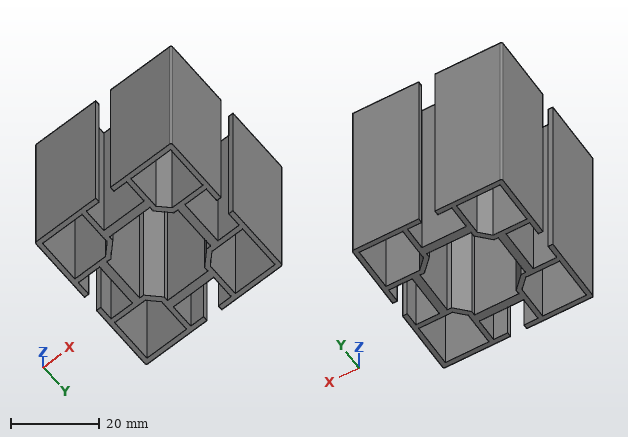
import cadquery as cq

side = 40.0
length = 50.0
wall = 1.25
slot_opening = 4.3
slot_width = 11.8
bridge_outer = 12.5
bridge_thickness = 2.1
core_corner = 9.25
edge_round = 0.5

half_side = side / 2
half_slot = slot_width / 2
bridge_inner = bridge_outer - bridge_thickness
cell_outer = half_side - wall
cell_inner = half_slot + wall
cell_size = cell_outer - cell_inner
cell_center = (cell_outer + cell_inner) / 2
diagonal_offset = half_slot + core_corner + wall * 2 ** 0.5
cell_chamfer = diagonal_offset - 2 * cell_inner


def corner_cell():
    """Square hollow in the +X +Y corner, cut off diagonally towards the axis."""
    cell = cq.Workplane("XY").center(cell_center, cell_center).rect(cell_size, cell_size).extrude(length)
    return cell.edges("|Z").edges("<(1, 1, 0)").chamfer(cell_chamfer)


def side_slot():
    """T-slot open to the +Y side."""
    slot_depth = cell_outer - bridge_outer
    chamber = (
        cq.Workplane("XY")
        .center(0, bridge_outer + slot_depth / 2)
        .rect(slot_width, slot_depth)
        .extrude(length)
    )
    mouth = (
        cq.Workplane("XY")
        .center(0, cell_outer + wall / 2)
        .rect(slot_opening, wall)
        .extrude(length)
    )
    return chamber.union(mouth)


def core_hollow():
    """Central hollow: a square with cut corners, extended to each bridge."""
    square = cq.Workplane("XY").rect(2 * core_corner, 2 * core_corner).extrude(length)
    hollow = square.edges("|Z").chamfer(core_corner - half_slot)
    for width, depth in ((slot_width, 2 * bridge_inner), (2 * bridge_inner, slot_width)):
        hollow = hollow.union(cq.Workplane("XY").rect(width, depth).extrude(length))
    return hollow


result = cq.Workplane("XY").rect(side, side).extrude(length)
result = result.edges("|Z").fillet(edge_round)
result = result.cut(core_hollow())
for quarter in range(4):
    angle = 90 * quarter
    for hollow in (corner_cell(), side_slot()):
        result = result.cut(hollow.rotate((0, 0, 0), (0, 0, 1), angle))